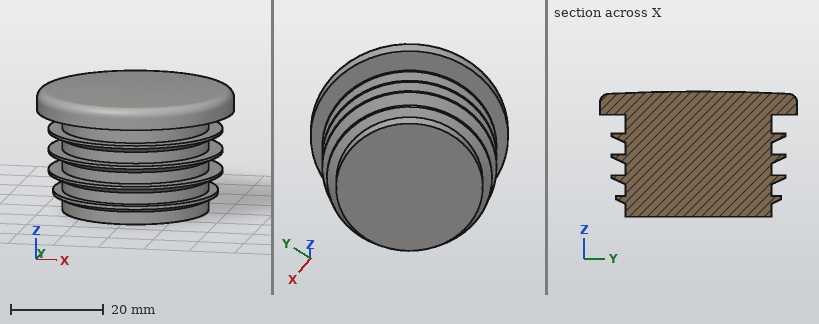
import cadquery as cq
import math

head_diameter = 42.7
head_bottom = 22.0
head_corner_height = 26.5
dome_top = 27.1
edge_radius = 2.0

stem_diameter = 31.7
rib_pitch = 4.5
main_rib_count = 3
main_rib_diameter = 37.7
main_rib_rim = 0.6
main_rib_height = 2.0
end_rib_diameter = 35.7
end_rib_rim = 0.75
end_rib_height = 1.7


def make_head():
    """Revolve the head: flat underside, straight wall, rounded edge, shallow spherical dome."""
    head_radius = head_diameter / 2
    dome_rise = dome_top - head_corner_height
    dome_radius = (head_radius**2 + dome_rise**2) / (2 * dome_rise)
    dome_center = dome_top - dome_radius
    edge_center_x = head_radius - edge_radius
    edge_center_z = dome_center + math.sqrt((dome_radius - edge_radius) ** 2 - edge_center_x**2)
    dome_edge_x = edge_center_x * dome_radius / (dome_radius - edge_radius)
    dome_edge_z = dome_center + math.sqrt(dome_radius**2 - dome_edge_x**2)
    profile = (
        cq.Workplane("XZ")
        .moveTo(0, head_bottom)
        .lineTo(head_radius, head_bottom)
        .lineTo(head_radius, edge_center_z)
        .radiusArc((dome_edge_x, dome_edge_z), -edge_radius)
        .radiusArc((0, dome_top), -dome_radius)
        .close()
    )
    return profile.revolve(360, (0, 0, 0), (0, 1, 0))


def make_rib(top, diameter, rim, height):
    """Revolve a rib: flat top, narrow rim, and a cone tapering down to the stem."""
    profile = (
        cq.Workplane("XZ")
        .moveTo(0, top)
        .lineTo(diameter / 2, top)
        .lineTo(diameter / 2, top - rim)
        .lineTo(stem_diameter / 2, top - height)
        .lineTo(0, top - height)
        .close()
    )
    return profile.revolve(360, (0, 0, 0), (0, 1, 0))


stem = cq.Workplane("XY").circle(stem_diameter / 2).extrude(head_bottom)
result = stem.union(make_head())

result = result.union(make_rib(rib_pitch, end_rib_diameter, end_rib_rim, end_rib_height))

for rib in range(1, main_rib_count + 1):
    rib_top = rib_pitch * (rib + 1)
    result = result.union(make_rib(rib_top, main_rib_diameter, main_rib_rim, main_rib_height))